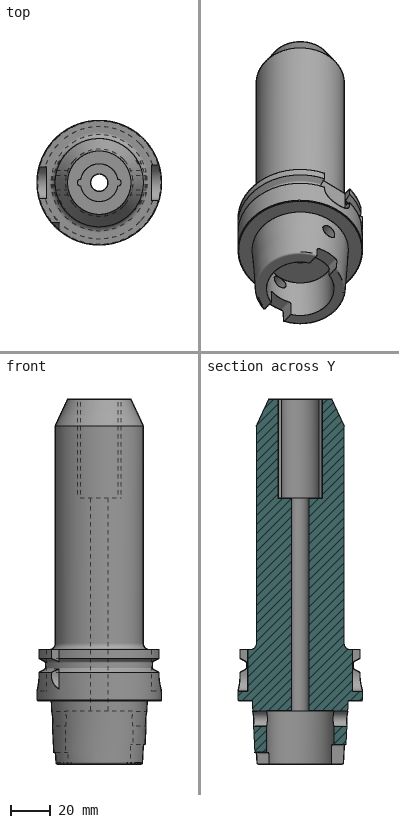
import cadquery as cq
import math


nose_top = 152.4
tube_radius = 44.6 / 2
tip_radius = 32.0 / 2
tip_cone_length = 13.5
root_fillet = 3.0

flange_height = 26.0
flange_radius = 63.0 / 2
flange_chamfer = 0.4
groove_radius = 56.8 / 2
groove_middle = 17.95
groove_outer_width = 7.0
groove_inner_width = 3.5
groove_floor_fillet = 0.6

shank_length = 32.0
taper_per_side = 1 / 20
gauge_radius = 48.0 / 2
gauge_depth = 6.3
shank_top_radius = gauge_radius + gauge_depth * taper_per_side
shank_end_radius = shank_top_radius - shank_length * taper_per_side
shank_end_fillet = 1.0

hollow_radius = 34.0 / 2
hollow_top = -5.0

bore_radius = 19.05 / 2
bore_depth = 50.0
keyway_radius = 1.75
keyway_center_distance = 9.3
passage_radius = 8.6 / 2

slot_floor_distance = 26.5
slot_bottom = 5.0
left_slot_width = 16.0
right_slot_width = 18.0

notch_corner = 20.2
notch_bottom_radius = 8.0
notch_arc_height = 13.0

drive_slot_width = 12.5
left_drive_depth = 6.0
right_drive_depth = 10.0
drive_slot_fillet = 1.2

cross_hole_radius = 7.5 / 2
cross_hole_height = -9.0

LEFT = -1
RIGHT = 1


def make_body():
    """Turned outside shape, drawn as a half profile and revolved about Z."""
    fillet_mid_offset = root_fillet * (1 - math.sin(math.radians(45)))
    profile = (
        cq.Workplane("XZ")
        .moveTo(0, -shank_length)
        .lineTo(shank_end_radius, -shank_length)
        .lineTo(shank_top_radius, 0)
        .lineTo(flange_radius - flange_chamfer, 0)
        .lineTo(flange_radius, flange_chamfer)
        .lineTo(flange_radius, flange_height)
        .lineTo(tube_radius + root_fillet, flange_height)
        .threePointArc(
            (tube_radius + fillet_mid_offset, flange_height + fillet_mid_offset),
            (tube_radius, flange_height + root_fillet),
        )
        .lineTo(tube_radius, nose_top - tip_cone_length)
        .lineTo(tip_radius, nose_top)
        .lineTo(0, nose_top)
        .close()
    )
    body = profile.revolve(360, (0, 0, 0), (0, 1, 0))
    return body.faces("<Z").edges().fillet(shank_end_fillet)


def make_gripper_groove():
    """Ring with sloping sides, rounded where the sides meet the groove floor."""
    outer_half = groove_outer_width / 2
    inner_half = groove_inner_width / 2
    ring = (
        cq.Workplane("XZ")
        .moveTo(groove_radius, groove_middle - inner_half)
        .lineTo(groove_radius, groove_middle + inner_half)
        .lineTo(flange_radius, groove_middle + outer_half)
        .lineTo(flange_radius, groove_middle - outer_half)
        .close()
        .revolve(360, (0, 0, 0), (0, 1, 0))
    )
    return ring.edges(cq.selectors.RadiusNthSelector(0)).fillet(groove_floor_fillet)


def make_tool_bore():
    """Blind bore with two opposite keyways and the passage down to the hollow."""
    floor = cq.Workplane("XY").workplane(offset=nose_top - bore_depth)
    bore = floor.circle(bore_radius).extrude(bore_depth)
    keyway_centers = [(-keyway_center_distance, 0), (keyway_center_distance, 0)]
    keyways = floor.pushPoints(keyway_centers).circle(keyway_radius).extrude(bore_depth)
    passage_length = nose_top + shank_length
    shank_end = cq.Workplane("XY").workplane(offset=-shank_length)
    passage = shank_end.circle(passage_radius).extrude(passage_length)
    return bore.union(keyways).union(passage)


def make_hollow():
    """Cylindrical hollow open at the shank end."""
    return (
        cq.Workplane("XY")
        .workplane(offset=-shank_length)
        .circle(hollow_radius)
        .extrude(shank_length + hollow_top)
    )


def make_flange_slot(side, width):
    """Slot with a half-round bottom, open at the top of the flange and outward."""
    radius = width / 2
    arc_height = slot_bottom + radius
    return (
        cq.Workplane("YZ")
        .workplane(offset=side * slot_floor_distance)
        .moveTo(-radius, flange_height)
        .lineTo(-radius, arc_height)
        .threePointArc((0, slot_bottom), (radius, arc_height))
        .lineTo(radius, flange_height)
        .close()
        .extrude(side * flange_radius)
    )


def make_notch():
    """Notch at the -X -Y corner; its Y wall curves outward into the floor."""
    arc_center_y = -notch_corner - notch_bottom_radius
    return (
        cq.Workplane("YZ")
        .workplane(offset=-notch_corner)
        .moveTo(-notch_corner, flange_height)
        .lineTo(-notch_corner, notch_arc_height)
        .radiusArc((arc_center_y, notch_arc_height - notch_bottom_radius), notch_bottom_radius)
        .lineTo(arc_center_y, flange_height)
        .close()
        .extrude(-flange_radius)
    )


def make_drive_slot(side, depth):
    """Slot across one wall of the shank end, with rounded inner corners."""
    return (
        cq.Workplane("XY")
        .box(shank_top_radius, drive_slot_width, depth, centered=(True, True, False))
        .edges("|X and >Z")
        .fillet(drive_slot_fillet)
        .translate((side * shank_top_radius / 2, 0, -shank_length))
    )


def make_cross_hole():
    """Hole along X through both walls of the shank."""
    return (
        cq.Workplane("YZ")
        .center(0, cross_hole_height)
        .circle(cross_hole_radius)
        .extrude(shank_top_radius, both=True)
    )


result = (
    make_body()
    .cut(make_gripper_groove())
    .cut(make_tool_bore())
    .cut(make_hollow())
    .cut(make_flange_slot(LEFT, left_slot_width))
    .cut(make_flange_slot(RIGHT, right_slot_width))
    .cut(make_notch())
    .cut(make_drive_slot(LEFT, left_drive_depth))
    .cut(make_drive_slot(RIGHT, right_drive_depth))
    .cut(make_cross_hole())
)